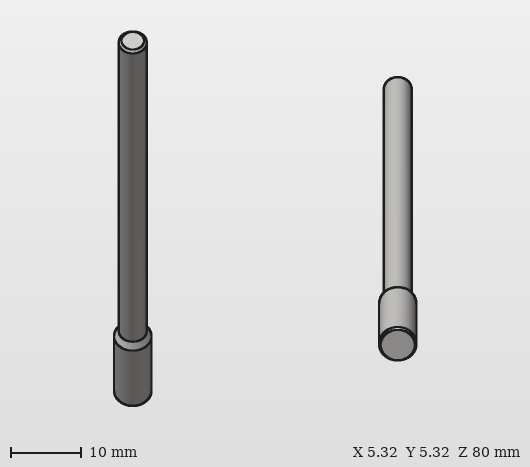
import cadquery as cq

total_length = 80.0
shank_radius = 4.0 / 2
shoulder_width = 0.66
head_radius = shank_radius + shoulder_width

head_length = 14.1
head_cone_height = 1.2
head_chamfer_width = 0.2
head_chamfer_height = 0.4

shank_chamfer_width = 0.4
shank_chamfer_height = 0.4


def make_head():
    """Thick end piece with a flat top face that carries the shank."""
    profile = [
        (0, 0),
        (head_radius - head_chamfer_width, 0),
        (head_radius, head_chamfer_height),
        (head_radius, head_length - head_cone_height),
        (shank_radius, head_length),
        (0, head_length),
    ]
    return cq.Workplane("XZ").polyline(profile).close().revolve(360, (0, 0), (0, 1))


def make_shank():
    """Slender rod standing on the head."""
    profile = [
        (0, head_length),
        (shank_radius, head_length),
        (shank_radius, total_length - shank_chamfer_height),
        (shank_radius - shank_chamfer_width, total_length),
        (0, total_length),
    ]
    return cq.Workplane("XZ").polyline(profile).close().revolve(360, (0, 0), (0, 1))


head = make_head()
shank = make_shank()

result = cq.Compound.makeCompound([head.val(), shank.val()])